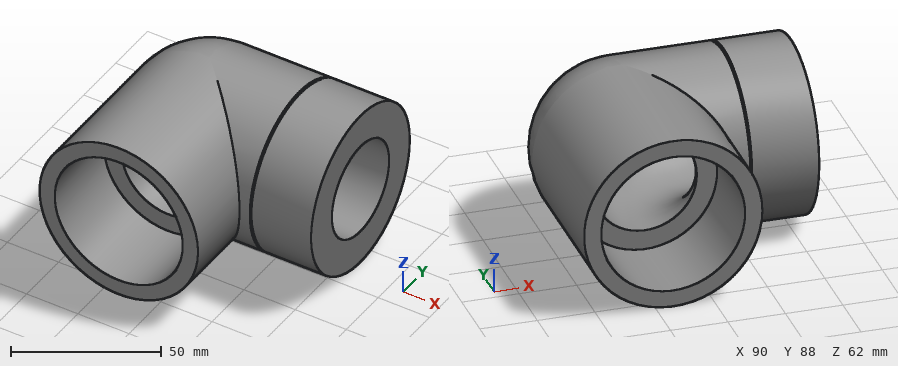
import cadquery as cq

length_x = 90.0
length_y = 88.0
outer_diameter = 62.0
bore_diameter = 35.9
socket_diameter = 50.0
socket_depth = 31.0
groove_start = 35.0
groove_width = 0.6
groove_depth = 0.5

outer_radius = outer_diameter / 2
reach_x = length_x - outer_radius
reach_y = length_y - outer_radius
bend_radius = reach_y - socket_depth


def rod_x(diameter, start, length):
    """Cylinder along +X, beginning at X = start."""
    return cq.Workplane("YZ", origin=(start, 0, 0)).circle(diameter / 2).extrude(length)


def rod_y(diameter, start, length):
    """Cylinder along -Y, beginning at Y = -start."""
    return cq.Workplane("XZ", origin=(0, -start, 0)).circle(diameter / 2).extrude(length)


def elbow(diameter):
    """Two arms joined by a ball of the same diameter."""
    ball = cq.Workplane("XY").sphere(diameter / 2)
    return ball.union(rod_x(diameter, 0, reach_x)).union(rod_y(diameter, 0, reach_y))


def bore():
    """Round bore that turns from the socket floor into the X arm and runs out of its end."""
    path = (
        cq.Workplane("XY")
        .moveTo(0, -bend_radius)
        .radiusArc((bend_radius, 0), bend_radius)
        .lineTo(reach_x, 0)
    )
    profile = cq.Workplane("XZ", origin=(0, -bend_radius, 0)).circle(bore_diameter / 2)
    return profile.sweep(path)


def groove():
    """Fine V-shaped ring groove around the X arm, marking its end collar."""
    profile = cq.Workplane("XY").polyline([
        (groove_start, outer_radius),
        (groove_start + groove_width / 2, outer_radius - groove_depth),
        (groove_start + groove_width, outer_radius),
    ])
    return profile.close().revolve(360, (0, 0), (1, 0))


socket = rod_y(socket_diameter, bend_radius, socket_depth)
result = elbow(outer_diameter).cut(socket).cut(bore()).cut(groove())